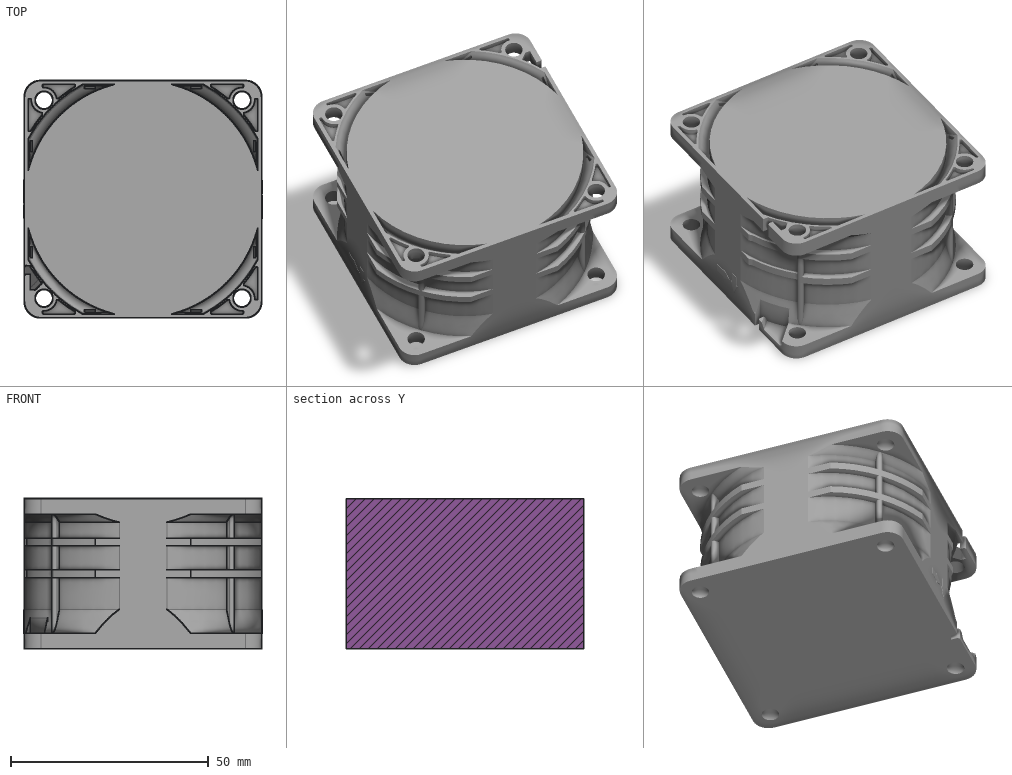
import cadquery as cq
import math

side = 60.0
height = 38.0
half = side / 2
flange_thickness = 4.0
flange_corner_radius = 4.2
upper_flange_z = height - flange_thickness

core_flat = 6.0
flare_flat = 12.0
core_radius = math.hypot(half, core_flat)
flare_radius = math.hypot(half, flare_flat)
lower_flare_top = 10.0
upper_flare_bottom = 32.0
ring_spans = ((18.0, 20.0), (26.0, 28.0))

hole_pitch = 50.0
hole_diameter = 4.4
hole_offset = hole_pitch / 2
rib_thickness = 1.5
boss_radius = 3.2
pocket_wall = 1.0
pocket_depth = 1.5
pocket_outer = half - pocket_wall
pocket_inner_radius = 33.2
pocket_overlap = 1.5
pocket_end = 25.4
pocket_edge_radius = 0.35

disc_radius = 29.9
rim_radius = 32.75
lip_radius = 32.45
lip_depth = 0.4
recess_depth = 3.4
recess_half = half - 1.0
recess_taper = 0.5
pit_width = 0.55
pit_start = 12.0
pit_end = 14.8
pit_corner_radius = 0.2

channel_radius = 31.2
ring_step = (-half, -9.9)
ring_step_end = (-29.3, -10.7)
channel_start_y = -12.87
channel_ledge_z = 3.25
channel_wall_offset = 4.3
groove_floor_z = 1.7
groove_fillet = 1.35
groove_floor_end = 12.8
groove_slope_end = 13.9
notch_end_y = -14.35
notch_chamfer = 0.45

slot_wall = 1.5
slot_top_y = -16.8
slot_mouth_y = -18.9
slot_chamfer = 0.4
slot_end_y = -22.9

arrow_height = 0.1
arrow_shaft = 2.0
arrow_head_width = 3.1
level_arrow = {"length": 5.7, "head_length": 2.8, "tail_y": 4.8, "tail_z": 6.7, "turn": 0}
down_arrow = {"length": 5.9, "head_length": 3.0, "tail_y": -3.1, "tail_z": 9.8, "turn": 90}

overrun = 2.0


def cylinder(radius, bottom, top):
    return cq.Workplane("XY").workplane(offset=bottom).circle(radius).extrude(top - bottom)


def prism(points, bottom, top):
    return cq.Workplane("XY").workplane(offset=bottom).polyline(points).close().extrude(top - bottom)


def corners(shape):
    """The shape repeated in all four corners."""
    return [shape.rotate((0, 0, 0), (0, 0, 1), 90 * turn) for turn in range(4)]


def make_flange(bottom):
    plate = cq.Workplane("XY").workplane(offset=bottom).rect(side, side).extrude(flange_thickness)
    return plate.edges("|Z").fillet(flange_corner_radius)


def make_core():
    profile = cq.Workplane("XZ").moveTo(0, 0).lineTo(flare_radius, 0).lineTo(flare_radius, flange_thickness)
    profile = profile.lineTo(core_radius, lower_flare_top)
    for bottom, top in ring_spans:
        profile = profile.lineTo(core_radius, bottom).lineTo(flare_radius, bottom)
        profile = profile.lineTo(flare_radius, top).lineTo(core_radius, top)
    profile = profile.lineTo(core_radius, upper_flare_bottom).lineTo(flare_radius, upper_flange_z)
    profile = profile.lineTo(flare_radius, height).lineTo(0, height).close()
    envelope = cq.Workplane("XY").rect(side, side).extrude(height)
    return profile.revolve(360, (0, 0), (0, 1)).intersect(envelope)


def make_rib():
    """Round-edged upright on the diagonal of the +X, +Y corner, flush with the rings."""
    tip_centre = flare_radius - rib_thickness / 2
    root = core_radius - rib_thickness
    rib = cq.Workplane("XY").workplane(offset=flange_thickness)
    rib = rib.center((root + tip_centre) / 2, 0).slot2D(tip_centre - root + rib_thickness, rib_thickness)
    return rib.extrude(upper_flange_z - flange_thickness).rotate((0, 0, 0), (0, 0, 1), 45)


def make_ring_reduction():
    """Cutter that lowers the rings to the channel radius, from the chamfered step to the rib."""
    step_x = ring_step_end[0] - ring_step[0]
    step_y = ring_step_end[1] - ring_step[1]
    outline = [
        (ring_step[0] - step_x, ring_step[1] - step_y),
        (ring_step[0] + 2 * step_x, ring_step[1] + 2 * step_y),
        (-core_radius / 2, -core_radius / 2),
        (-half - overrun, -half - overrun),
    ]
    cutter = prism(outline, lower_flare_top, upper_flare_bottom)
    return cutter.cut(cylinder(channel_radius, 0, height))


def make_channel():
    """Cutter for the cable channel through the lower flare and the lower flange."""
    outer_x = -half - overrun
    inner_x = channel_start_y - channel_wall_offset
    ledge_outline = [
        (outer_x, channel_start_y),
        (inner_x, channel_start_y),
        (outer_x, outer_x + channel_wall_offset),
    ]
    ledge = prism(ledge_outline, channel_ledge_z, lower_flare_top)

    diagonal = cq.Plane(origin=(-half, -half, 0), xDir=(-1, 1, 0), normal=(1, 1, 0))
    wall = channel_wall_offset / math.sqrt(2)
    floor_end = groove_floor_end / math.sqrt(2)
    slope_end = groove_slope_end / math.sqrt(2)
    groove_top_z = flange_thickness + overrun
    groove = cq.Workplane(diagonal).moveTo(wall, groove_top_z)
    groove = groove.lineTo(wall, groove_floor_z + groove_fillet)
    groove = groove.radiusArc((wall + groove_fillet, groove_floor_z), -groove_fillet)
    groove = groove.lineTo(floor_end, groove_floor_z).lineTo(slope_end, channel_ledge_z)
    groove = groove.lineTo(slope_end, groove_top_z).close().extrude(half, both=True)
    below_start = cq.Workplane("XY").box(side, side, height).translate((-half, channel_start_y - half, 0))
    groove = groove.intersect(below_start)

    notch_outline = [
        (outer_x, channel_start_y),
        (inner_x, channel_start_y),
        (inner_x, notch_end_y),
        (-half + notch_chamfer, notch_end_y),
        (-half, notch_end_y - notch_chamfer),
        (outer_x, notch_end_y - notch_chamfer),
    ]
    notch = prism(notch_outline, 0, flange_thickness)
    return ledge.union(groove).union(notch).cut(cylinder(channel_radius, 0, height))


def make_inlet_recess():
    """Cutter for the four crescents between the closing disc and the rim."""
    lip_z = height - lip_depth
    floor_z = height - recess_depth
    profile = cq.Workplane("XZ").moveTo(0, floor_z).lineTo(disc_radius, floor_z).lineTo(lip_radius, lip_z)
    profile = profile.lineTo(rim_radius, height).lineTo(0, height).close()
    bowl = profile.revolve(360, (0, 0), (0, 1))
    flats = cq.Workplane("XY").workplane(offset=height).rect(2 * recess_half, 2 * recess_half)
    flats = flats.workplane(offset=-recess_depth)
    floor_side = 2 * (recess_half - recess_taper)
    flats = flats.rect(floor_side, floor_side).loft(ruled=True)
    return bowl.intersect(flats).cut(cylinder(disc_radius, 0, height))


def make_inlet_pit():
    """Cutter for the narrow pit at the foot of the +X flat side, with a rounded far end."""
    outer_x = recess_half - recess_taper
    inner_x = outer_x - pit_width
    outline = [(inner_x, pit_start), (outer_x, pit_start), (outer_x, pit_end), (inner_x, pit_end)]
    pit = prism(outline, height - recess_depth, height)
    return pit.edges("|Z and >Y").fillet(pit_corner_radius).cut(cylinder(disc_radius, 0, height))


def make_corner_pocket():
    """Cutter for the pocket beside the +X edge, below the hole of the +X, +Y corner."""
    floor_z = height - pocket_depth
    inner_x = hole_offset - pocket_overlap
    outline = [(inner_x, 0), (pocket_outer, 0), (pocket_outer, pocket_end), (inner_x, pocket_end)]
    pocket = prism(outline, floor_z, height)
    pocket = pocket.cut(cylinder(pocket_inner_radius, 0, height))
    boss = cylinder(boss_radius, 0, height).translate((hole_offset, hole_offset, 0))
    return pocket.cut(boss).edges("|Z").fillet(pocket_edge_radius)


def make_pockets():
    """Two mirrored pockets per corner, except where the cable slot takes the -X side's place."""
    pocket = make_corner_pocket()
    beside_y_edge = pocket.mirror("XZ").rotate((0, 0, 0), (0, 0, 1), 90)
    beside_x_edge = corners(pocket)
    slot_turn = 2
    del beside_x_edge[slot_turn]
    return beside_x_edge + corners(beside_y_edge)


def make_cable_slot():
    """Cutter for the open-sided slot through the upper flange."""
    inner_x = -half + slot_wall
    reach_x = slot_top_y - channel_wall_offset
    chamber_outline = [
        (inner_x, slot_top_y),
        (reach_x, slot_top_y),
        (slot_end_y - channel_wall_offset, slot_end_y),
        (inner_x, slot_end_y),
    ]
    chamber = prism(chamber_outline, upper_flange_z, height)
    chamber = chamber.cut(cylinder(pocket_inner_radius, 0, height))
    mouth_outline = [
        (-half - overrun, slot_top_y),
        (inner_x, slot_top_y),
        (inner_x, slot_mouth_y),
        (-half + slot_chamfer, slot_mouth_y),
        (-half, slot_mouth_y - slot_chamfer),
        (-half - overrun, slot_mouth_y - slot_chamfer),
    ]
    return chamber.union(prism(mouth_outline, upper_flange_z, height))


def make_arrow(length, head_length, tail_y, tail_z, turn):
    """Arrow raised from the -X face; turn 0 points along -Y and turn 90 points down."""
    shaft_end = length - head_length
    upper = [
        (0, arrow_shaft / 2),
        (shaft_end, arrow_shaft / 2),
        (shaft_end, arrow_head_width / 2),
        (length, 0),
    ]
    lower = [(along, -across) for along, across in reversed(upper[:-1])]
    arrow = cq.Workplane(cq.Plane(origin=(-half, tail_y, tail_z), xDir=(0, -1, 0), normal=(-1, 0, 0)))
    arrow = arrow.polyline(upper + lower).close().extrude(arrow_height)
    return arrow.rotate((-half, tail_y, tail_z), (-half - 1, tail_y, tail_z), -turn)


def make_housing():
    housing = make_core().cut(make_ring_reduction())
    housing = housing.union(make_flange(0)).union(make_flange(upper_flange_z))
    for rib in corners(make_rib()):
        housing = housing.union(rib)
    housing = housing.cut(make_channel()).cut(make_inlet_recess()).cut(make_cable_slot())
    pit = make_inlet_pit()
    for recess_pit in corners(pit) + corners(pit.mirror("XZ")):
        housing = housing.cut(recess_pit)
    for pocket in make_pockets():
        housing = housing.cut(pocket)
    holes = cq.Workplane("XY").rect(hole_pitch, hole_pitch, forConstruction=True).vertices()
    housing = housing.cut(holes.circle(hole_diameter / 2).extrude(height))
    for arrow in (make_arrow(**level_arrow), make_arrow(**down_arrow)):
        housing = housing.union(arrow).union(arrow.rotate((0, 0, 0), (0, 0, 1), 180))
    return housing


result = make_housing()